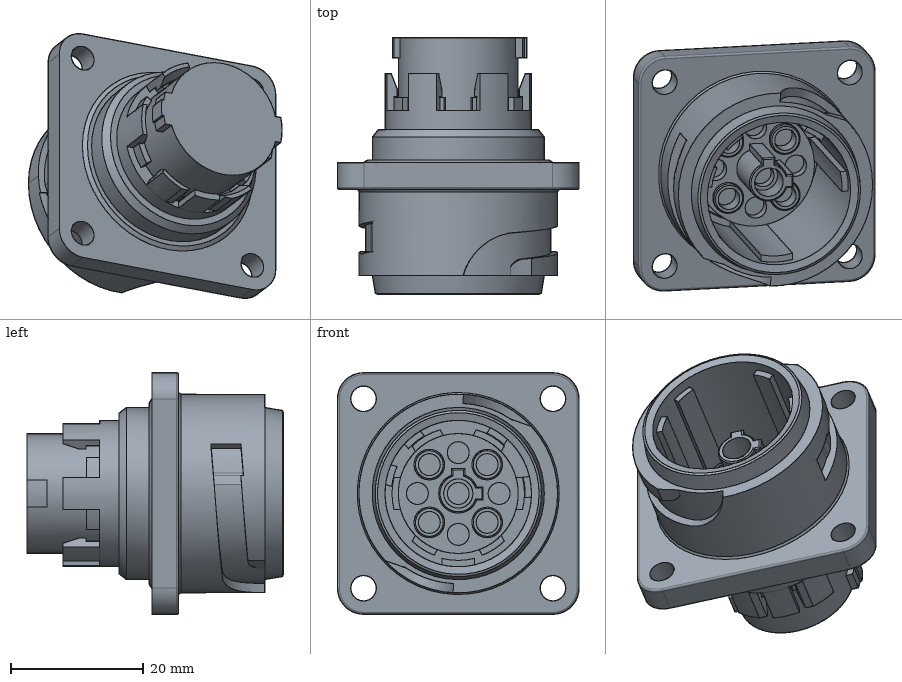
import cadquery as cq
import math


FLANGE_SIDE = 36.5
FLANGE_BACK = 4.05
FLANGE_CORNER_RADIUS = 4.0
FLANGE_EDGE_FILLET = 0.3
SCREW_HOLE_DIAMETER = 3.8
SCREW_HOLE_PITCH = 28.6

SHELL_FRONT = -15.83
BAYONET_FRONT = -13.0
FRONT_LIP_LENGTH = 0.35
REAR_LIP_LENGTH = 0.4
REAR_CHAMFER_START = 7.9
REAR_SHOULDER = 9.05
SLEEVE_END = 11.95
FINGER_END = 17.5
INSERT_END = 22.91
BAYONET_RADIUS = 15.0
FRONT_LIP_RADIUS = 15.25
NOSE_TIP_RADIUS = 12.55
NOSE_TIP_BREAK = 0.15
REAR_BODY_RADIUS = 13.0
REAR_SHOULDER_RADIUS = 12.1
REAR_LIP_RADIUS = 14.35
REAR_LIP_TOP_RADIUS = 13.7
SLEEVE_RADIUS = 11.05

BORE_RADIUS = SLEEVE_RADIUS
MOUTH_RADIUS = 12.2
MOUTH_CHAMFER_DEPTH = 0.3
BORE_FLOOR = 8.0
KEY_INNER_RADIUS = 10.1
KEY_FRONT = -13.87
KEY_WIDTH = 3.1
KEY_ANGLES = (5.3, 55.8, 129.3, 165.0)
WIDE_KEY_WIDTH = 4.9
WIDE_KEY_ANGLE = 270.0
REAR_KEY_WIDTH = 4.1

GROOVE_COUNT = 2
ENTRY_FLOOR_RADIUS = 13.6
LOCK_FLOOR_RADIUS = 14.0
GROOVE_END_ANGLE = -30.0
GROOVE_RISE_PER_DEGREE = 0.0196
GROOVE_END_REAR = -4.87
GROOVE_WIDTH = 4.13
REAR_BEND_RADIUS = 8.5
ISLAND_BEND_RADIUS = 2.9
ENTRY_FAR_ANGLE = 88.0
ENTRY_NEAR_ANGLE = 57.0
RAMP_OUTER_ANGLE = 42.5
LOCK_POCKET_ANGLE = -10.5
LOCK_POCKET_OFFSET = 0.4
LOCK_POCKET_RADIUS = 13.6
LOCK_STEP_RADIUS = 13.75
LOCK_STEP_ANGLES = (-13.2, -11.4)
LOCK_FLOOR_ANGLE = -5.7
GROOVE_EDGE_SPANS = 36
POCKET_EDGE_SPANS = 4

INSERT_RADIUS = 9.05
INSERT_FACE = 1.0
FINGER_WIDTH = 4.88
FINGER_ANGLES = (0, 60, 120, 180, 240, 300)
FINGER_ROOT_RADIUS = 10.0
FINGER_TIP_RADIUS = 10.4
HOOK_RADIUS = 9.5
HOOK_START = 14.0
HOOK_SLOPE_START = 15.1
FINGER_CLEARANCE_Z = -10.2
LUG_RADIUS = 10.0
LUG_END = 13.9
SIDE_LUG_HALF_ANGLE = 33.0
SLANTED_LUG_SPREAD_TO_Z = 17.5
SLANTED_LUG_SPREAD_TO_X = 7.0
WINDOW_DEPTH = 1.0
LOWER_WINDOW_WIDTH = 3.95
END_LUG_LENGTH = 3.06
END_LUG_RADIUS = 9.95
END_LUG_WIDTH = 4.1
WIDE_END_LUG_RADIUS = 10.07
WIDE_END_LUG_WIDTH = 5.2
END_NIB_RADIUS = 10.39
END_NIB_WIDTH = 2.6

CONTACT_COUNT = 8
CONTACT_CIRCLE_RADIUS = 6.17
CONTACT_DIAMETER = 3.3
CONTACT_DEPTH = 2.0
COLLAR_DIAMETER = 4.6
COLLAR_LENGTH = 1.0
EDGE_CHAMFER = 0.2
POST_FRONT = -8.3
POST_DIAMETER = 5.9
POST_BORE_DIAMETER = 4.4
POST_BORE_DEPTH = 4.0
POST_KEY_REACH = 3.77
POST_KEY_WIDTH = 2.0

MARGIN = 1.0
SMALL_MARGIN = 0.1


def polar(radius, angle):
    """Cartesian (x, z) of a point given by its radius and its angle from +X towards +Z."""
    turn = math.radians(angle)
    return (radius * math.cos(turn), radius * math.sin(turn))


def revolved(points, angle=360.0):
    """Revolve a (radius, y) outline about the connector axis."""
    return cq.Workplane("XY").polyline(points).close().revolve(angle, (0, 0, 0), (0, 1, 0))


def turned(body, angle):
    """Turn a body about the connector axis, from +X towards +Z."""
    return body.rotate((0, 0, 0), (0, 1, 0), -angle)


def ring_sector(inner, outer, start_y, end_y, start_angle, end_angle):
    """Sector of a ring between two angles."""
    outline = [(inner, start_y), (outer, start_y), (outer, end_y), (inner, end_y)]
    return turned(revolved(outline, end_angle - start_angle), end_angle)


def bar(inner, outer, width, start_y, end_y, angle, shift=0.0):
    """Parallel-sided bar between two radii, at the given angle and moved sideways by shift."""
    tube = revolved([(inner, start_y), (outer, start_y), (outer, end_y), (inner, end_y)])
    block = cq.Workplane("XY").box(outer, end_y - start_y, width, centered=False)
    return turned(tube.intersect(block.translate((0, start_y, shift - width / 2))), angle)


def cylinder(diameter, start_y, end_y, x=0.0, z=0.0):
    """Round bar along Y."""
    return (
        cq.Workplane("XZ", origin=(x, start_y, z))
        .circle(diameter / 2)
        .extrude(-(end_y - start_y))
    )


def flange():
    """Square plate with rounded corners and four screw holes."""
    plate = (
        cq.Workplane("XZ")
        .rect(FLANGE_SIDE, FLANGE_SIDE)
        .extrude(-FLANGE_BACK)
        .edges("|Y")
        .fillet(FLANGE_CORNER_RADIUS)
        .faces("<Y")
        .edges()
        .fillet(FLANGE_EDGE_FILLET)
    )
    holes = (
        cq.Workplane("XZ")
        .rect(SCREW_HOLE_PITCH, SCREW_HOLE_PITCH, forConstruction=True)
        .vertices()
        .circle(SCREW_HOLE_DIAMETER / 2)
        .extrude(-FLANGE_BACK)
    )
    return plate.cut(holes)


def shell_body():
    """Turned outside of the shell, from the tapered nose to the rear sleeve."""
    return revolved([
        (0, SHELL_FRONT),
        (MOUTH_RADIUS, SHELL_FRONT),
        (NOSE_TIP_RADIUS, SHELL_FRONT + NOSE_TIP_BREAK),
        (REAR_BODY_RADIUS, BAYONET_FRONT),
        (BAYONET_RADIUS, BAYONET_FRONT),
        (BAYONET_RADIUS, -FRONT_LIP_LENGTH),
        (FRONT_LIP_RADIUS, 0),
        (FRONT_LIP_RADIUS, FLANGE_BACK / 2),
        (REAR_LIP_RADIUS, FLANGE_BACK / 2),
        (REAR_LIP_RADIUS, FLANGE_BACK),
        (REAR_LIP_TOP_RADIUS, FLANGE_BACK + REAR_LIP_LENGTH),
        (REAR_BODY_RADIUS, FLANGE_BACK + REAR_LIP_LENGTH),
        (REAR_BODY_RADIUS, REAR_CHAMFER_START),
        (REAR_SHOULDER_RADIUS, REAR_SHOULDER),
        (SLEEVE_RADIUS, REAR_SHOULDER),
        (SLEEVE_RADIUS, SLEEVE_END),
        (0, SLEEVE_END),
    ])


def bore():
    """Mating cavity with its flared mouth."""
    return revolved([
        (0, SHELL_FRONT),
        (MOUTH_RADIUS, SHELL_FRONT),
        (BORE_RADIUS, SHELL_FRONT + MOUTH_CHAMFER_DEPTH),
        (BORE_RADIUS, BORE_FLOOR),
        (0, BORE_FLOOR),
    ])


def polarizing_keys():
    """Keys along the bore wall, one of them wide."""
    outer = BORE_RADIUS + SMALL_MARGIN
    keys = bar(KEY_INNER_RADIUS, outer, WIDE_KEY_WIDTH, KEY_FRONT, BORE_FLOOR, WIDE_KEY_ANGLE)
    for angle in KEY_ANGLES:
        keys = keys.union(bar(KEY_INNER_RADIUS, outer, KEY_WIDTH, KEY_FRONT, BORE_FLOOR, angle))
    return keys


def arc_length(angle):
    """Length along the bayonet surface that spans an angle."""
    return BAYONET_RADIUS * math.radians(angle)


def helix_y(angle, offset=0.0):
    """Y of a groove edge that follows the helix, moved towards the front by offset."""
    return GROOVE_END_REAR - offset - GROOVE_RISE_PER_DEGREE * (angle - GROOVE_END_ANGLE)


def bent_edge(angle, offset, bend_radius, last_angle):
    """Y of a helical groove edge that bends towards the front and faces it at last_angle."""
    bend_start = last_angle - math.degrees(bend_radius / BAYONET_RADIUS)
    if angle <= bend_start:
        return helix_y(angle, offset)
    run = min(arc_length(angle - bend_start), bend_radius)
    drop = bend_radius - math.sqrt(bend_radius ** 2 - run ** 2)
    return helix_y(bend_start, offset) - drop


def rear_edge(angle):
    """Groove edge nearer the flange."""
    return bent_edge(angle, 0.0, REAR_BEND_RADIUS, ENTRY_FAR_ANGLE)


def island_edge(angle):
    """Groove edge nearer the mating end, along the island left beside the entry."""
    return bent_edge(angle, GROOVE_WIDTH, ISLAND_BEND_RADIUS, ENTRY_NEAR_ANGLE)


def pocket_edge(angle):
    """Island edge set back to widen the lock pocket."""
    return helix_y(angle, GROOVE_WIDTH + LOCK_POCKET_OFFSET)


def curved_block(start_angle, end_angle, edge_a, edge_b, spans):
    """Block with radial sides, bounded along Y by two functions of the angle."""
    inner = ENTRY_FLOOR_RADIUS - MARGIN / 2
    outer = BAYONET_RADIUS + 2 * MARGIN
    angles = [start_angle + (end_angle - start_angle) * i / spans for i in range(spans + 1)]

    def curve(radius, edge):
        points = []
        for angle in angles:
            x, z = polar(radius, angle)
            points.append(cq.Vector(x, edge(angle), z))
        return cq.Edge.makeSpline(points)

    rails = [curve(inner, edge_a), curve(outer, edge_a), curve(outer, edge_b), curve(inner, edge_b)]
    sides = [cq.Face.makeRuledSurface(rails[i], rails[(i + 1) % 4]) for i in range(4)]
    caps = []
    for corner in (cq.Edge.startPoint, cq.Edge.endPoint):
        corners = [corner(rail) for rail in rails]
        caps.append(cq.Face.makeFromWires(cq.Wire.makePolygon(corners, close=True)))
    solid = cq.Solid.makeSolid(cq.Shell.makeShell(sides + caps))
    return cq.Workplane("XY").newObject([solid.fix()])


def channel_outline():
    """Groove section across the axis: the floor climbs from the entry, then drops into the lock pocket."""
    outer = BAYONET_RADIUS + MARGIN
    step_foot, step_top = LOCK_STEP_ANGLES
    floor_middle = (LOCK_FLOOR_ANGLE + ENTRY_FAR_ANGLE) / 2
    floor_mean_radius = (LOCK_FLOOR_RADIUS + ENTRY_FLOOR_RADIUS) / 2
    pocket_middle = (GROOVE_END_ANGLE + step_foot) / 2
    outer_middle = (GROOVE_END_ANGLE + ENTRY_FAR_ANGLE) / 2
    return (
        cq.Workplane("XZ", origin=(0, BAYONET_FRONT, 0))
        .moveTo(*polar(LOCK_POCKET_RADIUS, GROOVE_END_ANGLE))
        .threePointArc(polar(LOCK_POCKET_RADIUS, pocket_middle), polar(LOCK_POCKET_RADIUS, step_foot))
        .lineTo(*polar(LOCK_STEP_RADIUS, step_top))
        .lineTo(*polar(LOCK_FLOOR_RADIUS, LOCK_FLOOR_ANGLE))
        .threePointArc(
            polar(floor_mean_radius, floor_middle), polar(ENTRY_FLOOR_RADIUS, ENTRY_FAR_ANGLE)
        )
        .lineTo(*polar(outer, ENTRY_FAR_ANGLE))
        .threePointArc(polar(outer, outer_middle), polar(outer, GROOVE_END_ANGLE))
        .close()
    )


def entry_ramp():
    """Flat that slopes from the groove floor out to the full bayonet radius."""
    far = BAYONET_RADIUS + MARGIN
    start = polar(ENTRY_FLOOR_RADIUS, ENTRY_NEAR_ANGLE)
    end = polar(BAYONET_RADIUS, RAMP_OUTER_ANGLE)
    return (
        cq.Workplane("XZ", origin=(0, BAYONET_FRONT - 3 * MARGIN, 0))
        .polyline([start, end, polar(far, RAMP_OUTER_ANGLE), polar(far + MARGIN, ENTRY_NEAR_ANGLE)])
        .close()
        .extrude(-(GROOVE_END_REAR - BAYONET_FRONT))
    )


def bayonet_groove():
    """Cutter for one groove: its channel, its entry and the ramp beside the entry."""
    rear_limit = GROOVE_END_REAR + MARGIN
    edge_start = GROOVE_END_ANGLE - MARGIN

    def behind(angle):
        return rear_limit + MARGIN

    def ahead(angle):
        return BAYONET_FRONT - 3 * MARGIN

    channel = channel_outline().extrude(-(rear_limit - BAYONET_FRONT))
    rear_wall = curved_block(edge_start, ENTRY_FAR_ANGLE, rear_edge, behind, GROOVE_EDGE_SPANS)
    island = curved_block(edge_start, ENTRY_NEAR_ANGLE, island_edge, ahead, GROOVE_EDGE_SPANS)
    pocket = curved_block(GROOVE_END_ANGLE, LOCK_POCKET_ANGLE, rear_edge, pocket_edge, POCKET_EDGE_SPANS)
    return channel.cut(rear_wall).cut(island.cut(pocket).cut(entry_ramp()))


def finger(angle):
    """Snap finger whose hook holds the insert lugs against the sleeve."""
    hook = revolved([
        (FINGER_ROOT_RADIUS, SLEEVE_END - MARGIN),
        (SLEEVE_RADIUS, SLEEVE_END - MARGIN),
        (SLEEVE_RADIUS, FINGER_END),
        (FINGER_TIP_RADIUS, FINGER_END),
        (HOOK_RADIUS, HOOK_SLOPE_START),
        (HOOK_RADIUS, HOOK_START),
        (FINGER_ROOT_RADIUS, HOOK_START),
    ])
    slab = cq.Workplane("XY").box(SLEEVE_RADIUS, FINGER_END, FINGER_WIDTH, centered=(False, False, True))
    body = turned(hook.intersect(slab), angle)
    clearance = cq.Workplane("XY").box(
        2 * SLEEVE_RADIUS, FINGER_END - SLEEVE_END, SLEEVE_RADIUS, centered=(True, False, False)
    )
    return body.cut(clearance.translate((0, SLEEVE_END, FINGER_CLEARANCE_Z - SLEEVE_RADIUS)))


def rear_key():
    """Bar behind the sleeve in line with the wide polarizing key."""
    return bar(KEY_INNER_RADIUS, SLEEVE_RADIUS, REAR_KEY_WIDTH, SLEEVE_END, FINGER_END, WIDE_KEY_ANGLE)


def insert_lug(angle):
    """Lug below a finger hook; the slanted ones reach further towards the Z axis."""
    past_side = angle % 180
    if past_side == 0:
        before, after = SIDE_LUG_HALF_ANGLE, SIDE_LUG_HALF_ANGLE
    elif past_side < 90:
        before, after = SLANTED_LUG_SPREAD_TO_X, SLANTED_LUG_SPREAD_TO_Z
    else:
        before, after = SLANTED_LUG_SPREAD_TO_Z, SLANTED_LUG_SPREAD_TO_X
    return ring_sector(
        INSERT_RADIUS - MARGIN, LUG_RADIUS, SLEEVE_END - SMALL_MARGIN, LUG_END,
        angle - before, angle + after,
    )


def floor_window(angle):
    """Recess in the bore floor in line with a finger; the lower two keep clear of the wide key."""
    end = BORE_FLOOR + WINDOW_DEPTH
    if angle <= 180:
        return bar(INSERT_RADIUS, LUG_RADIUS, FINGER_WIDTH, BORE_FLOOR, end, angle)
    shift = (FINGER_WIDTH - LOWER_WINDOW_WIDTH) / 2
    if angle < WIDE_KEY_ANGLE:
        shift = -shift
    return bar(INSERT_RADIUS, LUG_RADIUS, LOWER_WINDOW_WIDTH, BORE_FLOOR, end, angle, shift)


def insert_body():
    """Contact insert with its lugs at the rear end."""
    body = cylinder(2 * INSERT_RADIUS, INSERT_FACE, INSERT_END)
    lug_start = INSERT_END - END_LUG_LENGTH
    inner = INSERT_RADIUS - MARGIN
    for radius, width, angle in (
        (END_LUG_RADIUS, END_LUG_WIDTH, 180),
        (WIDE_END_LUG_RADIUS, WIDE_END_LUG_WIDTH, 0),
        (END_NIB_RADIUS, END_NIB_WIDTH, 0),
    ):
        body = body.union(bar(inner, radius, width, lug_start, INSERT_END, angle))
    return body


def centre_post():
    """Hollow post with one key pointing up and one pointing to +X."""
    length = INSERT_FACE - POST_FRONT
    half_reach = POST_KEY_REACH / 2
    post = cylinder(POST_DIAMETER, POST_FRONT, INSERT_FACE)
    plane = cq.Workplane("XZ", origin=(0, POST_FRONT, 0))
    post = post.union(plane.center(0, half_reach).rect(POST_KEY_WIDTH, POST_KEY_REACH).extrude(-length))
    post = post.union(plane.center(half_reach, 0).rect(POST_KEY_REACH, POST_KEY_WIDTH).extrude(-length))
    return post.faces("<Y").edges().chamfer(EDGE_CHAMFER)


def contacts(body):
    """Add the collars and sink the contact holes into the insert face and the post."""
    for index in range(CONTACT_COUNT):
        x, z = polar(CONTACT_CIRCLE_RADIUS, 360 / CONTACT_COUNT * index)
        hole_start = INSERT_FACE
        if index % 2:
            hole_start = INSERT_FACE - COLLAR_LENGTH
            collar = cylinder(COLLAR_DIAMETER, hole_start, INSERT_FACE, x, z)
            body = body.union(collar.faces("<Y").edges().chamfer(EDGE_CHAMFER))
        body = body.cut(cylinder(CONTACT_DIAMETER, hole_start, INSERT_FACE + CONTACT_DEPTH, x, z))
    bore_end = POST_FRONT + POST_BORE_DEPTH
    body = body.cut(cylinder(POST_BORE_DIAMETER, POST_FRONT, bore_end))
    return body.cut(cylinder(CONTACT_DIAMETER, bore_end, bore_end + CONTACT_DEPTH))


shell = shell_body().union(flange()).cut(bore()).union(polarizing_keys())
for number in range(GROOVE_COUNT):
    turn_angle = 360 / GROOVE_COUNT * number
    shell = shell.cut(turned(bayonet_groove(), turn_angle))
for finger_angle in FINGER_ANGLES:
    shell = shell.cut(floor_window(finger_angle)).union(finger(finger_angle))
shell = shell.union(rear_key())

insert = contacts(insert_body().union(centre_post()))
for finger_angle in FINGER_ANGLES:
    insert = insert.union(insert_lug(finger_angle))

result = shell.union(insert)